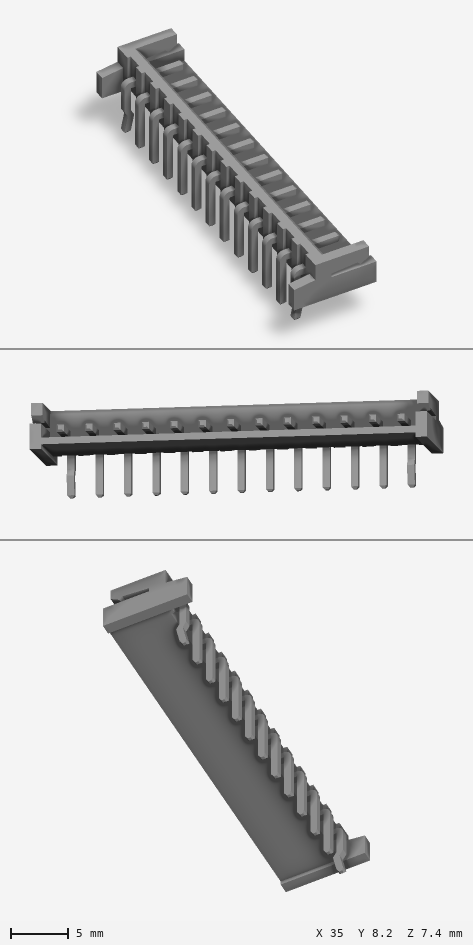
import cadquery as cq


pin_count = 13
pitch = 2.5
pin_size = 0.64
pin_top = 2.3
pin_bottom = -3.2
pin_front = 1.2
pin_tip_back = 7.25
bend_radius = 0.7
tip_length = 0.2
tip_width = 0.3

kink_offset = 0.34
kink_start = -0.75
kink_peak = -1.33

length = 35.0
depth = 8.2
height = 4.2
housing_bottom = 0.4
floor_top = 1.0
wall_front = 2.1
recess_back = 2.43
wall_back = 3.7
wall_chamfer = 0.4
recess_width = 1.5

cheek_width = 1.0
nose_height = 2.25
shoulder_height = 2.55
latch_back = 7.45
latch_lip_height = 3.1
hook_back = 6.6
hook_height = 2.57
slot_mouth_back = 6.3
slot_mouth_top = 2.87
slot_end_top = 2.64

first_pin_x = -pitch * (pin_count - 1) / 2
pin_positions = [first_pin_x + index * pitch for index in range(pin_count)]


def extrude_along_x(outline, x_center, width):
    """Extrude a closed outline drawn in Y and Z, centred on x_center."""
    return outline.extrude(width / 2, both=True).translate((x_center, 0, 0))


def make_wall_and_floor():
    """Wall with a chamfered inner top edge, and the floor below the pins."""
    outline = (
        cq.Workplane("YZ")
        .moveTo(wall_front, housing_bottom)
        .lineTo(depth, housing_bottom)
        .lineTo(depth, floor_top)
        .lineTo(wall_back, floor_top)
        .lineTo(wall_back, height - wall_chamfer)
        .lineTo(wall_back - wall_chamfer, height)
        .lineTo(wall_front, height)
        .close()
    )
    return extrude_along_x(outline, 0, length - cheek_width)


def cut_recesses(body):
    """Cut a full-height recess into the wall front at every pin."""
    recess = cq.Workplane("XY").box(
        recess_width, recess_back, height, centered=(True, False, False)
    )
    for x in pin_positions:
        body = body.cut(recess.translate((x, 0, 0)))
    return body


def make_cheek(x_center):
    """End cheek with a sloped nose and a hooked latch over an open slot."""
    outline = (
        cq.Workplane("YZ")
        .moveTo(0, 0)
        .lineTo(depth, 0)
        .lineTo(depth, nose_height)
        .lineTo(wall_back, nose_height)
        .lineTo(wall_back, slot_end_top)
        .lineTo(slot_mouth_back, slot_mouth_top)
        .lineTo(hook_back, hook_height)
        .lineTo(latch_back, latch_lip_height)
        .lineTo(latch_back, height)
        .lineTo(wall_front, height)
        .lineTo(wall_front, shoulder_height)
        .lineTo(0, nose_height)
        .close()
    )
    return extrude_along_x(outline, x_center, cheek_width)


def make_tip(base_center, direction):
    """Tapered square pin tip that grows from base_center along direction."""
    base = cq.Plane(origin=base_center, xDir=(1, 0, 0), normal=direction)
    return (
        cq.Workplane(base)
        .rect(pin_size, pin_size)
        .workplane(offset=tip_length)
        .rect(tip_width, tip_width)
        .loft(combine=True)
    )


def make_pin(x, kinked):
    """Pin bent through a right angle, with tapered tips and an optional kink in its leg."""
    leg_back = pin_front + pin_size
    leg_end = pin_bottom + tip_length
    contact_end = pin_tip_back - tip_length
    contact_bottom = pin_top - pin_size
    inner_radius = bend_radius - pin_size
    outline = (
        cq.Workplane("YZ")
        .moveTo(contact_end, pin_top)
        .lineTo(pin_front + bend_radius, pin_top)
        .radiusArc((pin_front, pin_top - bend_radius), -bend_radius)
    )
    if kinked:
        outline = outline.lineTo(pin_front, kink_start).lineTo(pin_front + kink_offset, kink_peak)
    outline = outline.lineTo(pin_front, leg_end).lineTo(leg_back, leg_end)
    if kinked:
        outline = outline.lineTo(leg_back + kink_offset, kink_peak).lineTo(leg_back, kink_start)
    outline = (
        outline.lineTo(leg_back, contact_bottom - inner_radius)
        .radiusArc((leg_back + inner_radius, contact_bottom), inner_radius)
        .lineTo(contact_end, contact_bottom)
        .close()
    )
    pin = extrude_along_x(outline, x, pin_size)
    leg_tip = make_tip((x, pin_front + pin_size / 2, leg_end), (0, 0, -1))
    contact_tip = make_tip((x, contact_end, pin_top - pin_size / 2), (0, 1, 0))
    return pin.union(leg_tip).union(contact_tip)


result = cut_recesses(make_wall_and_floor())
for side in (-1, 1):
    result = result.union(make_cheek(side * (length - cheek_width) / 2))
for x in pin_positions:
    at_row_end = x in (pin_positions[0], pin_positions[-1])
    result = result.union(make_pin(x, at_row_end))